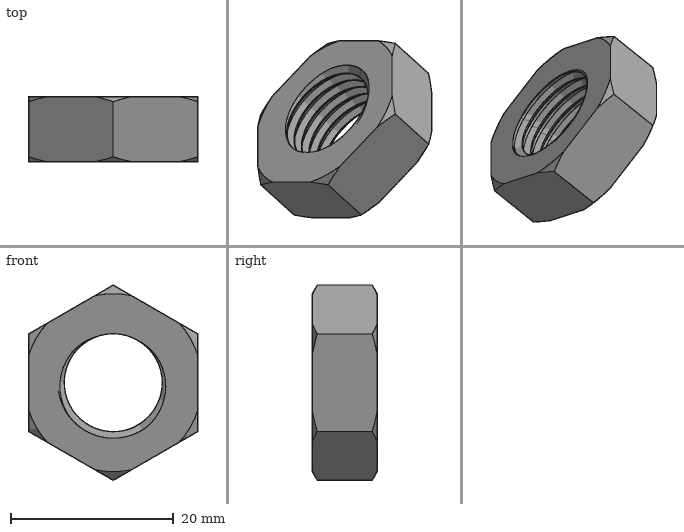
import cadquery as cq
import math

across_corners = 24.0
thickness = 8.0
corner_radius = across_corners / 2

chamfer_face_radius = 10.92
chamfer_angle = math.radians(30)
chamfer_depth = (corner_radius - chamfer_face_radius) * math.tan(chamfer_angle)

bore_radius = 6.0
pitch = 1.5
flank_angle = math.radians(30)
crest_width = pitch / 8
root_width = pitch / 4
thread_depth = (pitch - crest_width - root_width) / 2 / math.tan(flank_angle)
root_radius = bore_radius + thread_depth
groove_start_angle = -97.0
cutter_overlap = 0.05
first_turn = -1
last_turn = math.ceil(thickness / pitch)
groove_twist = 360 * thickness / pitch


def make_hexagon():
    """Hexagonal prism along Z with two corners on the Y axis."""
    return (
        cq.Workplane("XY")
        .polygon(6, across_corners)
        .extrude(thickness)
        .rotate((0, 0, 0), (0, 0, 1), 90)
    )


def make_chamfer_envelope():
    """Turned blank whose coned rims trim the corners of the hexagon."""
    profile = [
        (0, 0),
        (chamfer_face_radius, 0),
        (corner_radius, chamfer_depth),
        (corner_radius, thickness - chamfer_depth),
        (chamfer_face_radius, thickness),
        (0, thickness),
    ]
    return cq.Workplane("XZ").polyline(profile).close().revolve(360, (0, 0), (0, 1))


def make_bore():
    """Plain hole along Z at the thread crest."""
    return cq.Workplane("XY").circle(bore_radius).extrude(thickness)


def make_groove_turn():
    """One full turn of the right-hand helical groove, starting at the +Y face."""
    inner_radius = bore_radius - cutter_overlap
    half_root = root_width / 2
    half_opening = half_root + (root_radius - inner_radius) * math.tan(flank_angle)
    profile = [
        (inner_radius, -half_opening),
        (root_radius, -half_root),
        (root_radius, half_root),
        (inner_radius, half_opening),
    ]
    path = cq.Wire.makeHelix(pitch, pitch, bore_radius)
    turn = cq.Workplane("XZ").polyline(profile).close().sweep(path, isFrenet=True)
    return turn.rotate((0, 0, 0), (0, 0, 1), groove_start_angle - groove_twist)


def cut_thread(body):
    """Body with the groove cut through its full thickness."""
    groove_turn = make_groove_turn()
    for turn in range(first_turn, last_turn + 1):
        body = body.cut(groove_turn.translate((0, 0, turn * pitch)))
    return body


nut = make_hexagon().intersect(make_chamfer_envelope())
nut = nut.cut(make_bore())
nut = cut_thread(nut).solids()
result = nut.translate((0, 0, -thickness / 2)).rotate((0, 0, 0), (1, 0, 0), 90)